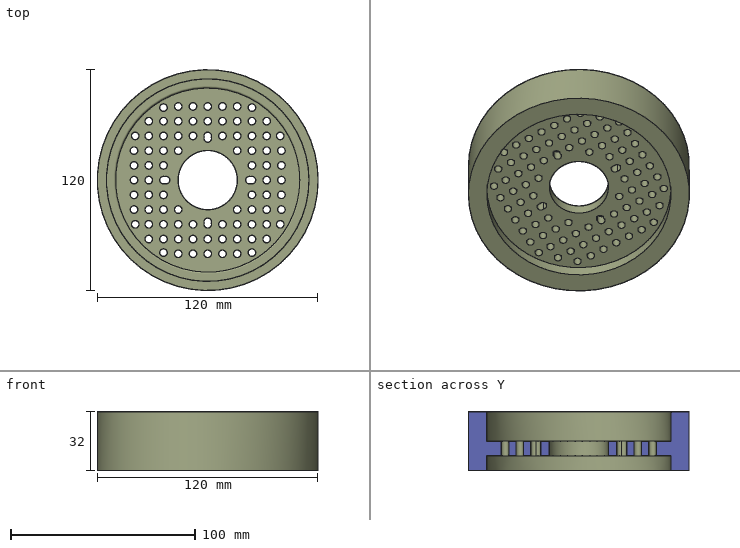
import cadquery as cq
import math

outer_diameter = 120.0
height = 32.0

pocket_diameter = 100.0
pocket_depth = 16.0
floor_thickness = 8.0
rim_fillet = 1.0
bore_diameter = 32.0
recess_depth = height - pocket_depth - floor_thickness

groove_outer_diameter = 110.0
groove_width = 0.1
groove_depth = 0.1

hole_diameter = 4.0
hole_pitch = outer_diameter / 15
grid_reach = 5
grid_inner_radius = 20.4
grid_outer_radius = 48.0
full_pitch_radius = 46.2
pulled_offset = 39.4

ring_count = 8
ring_radius = 2 * hole_pitch * math.sqrt(2)


def cylinder(diameter, bottom, top):
    """Solid cylinder on the Z axis between two heights."""
    return cq.Workplane("XY").workplane(offset=bottom).circle(diameter / 2).extrude(top - bottom)


def pulled_inward(coordinate):
    """Limit a coordinate to the offset of the pulled holes, keeping its sign."""
    return math.copysign(min(abs(coordinate), pulled_offset), coordinate)


def grid_centres():
    """Centres of the holes that follow the square grid."""
    centres = []
    steps = range(-grid_reach, grid_reach + 1)
    for column in steps:
        for row in steps:
            x = column * hole_pitch
            y = row * hole_pitch
            radius = math.hypot(x, y)
            if not grid_inner_radius < radius < grid_outer_radius:
                continue
            if radius > full_pitch_radius:
                x = pulled_inward(x)
                y = pulled_inward(y)
            centres.append((x, y))
    return centres


def holes_at(points):
    """Drills reaching through the floor; points is a workplane with the centres stacked."""
    return points.circle(hole_diameter / 2).extrude(recess_depth + floor_thickness)


def rim_groove():
    """Thin ring that cuts the hairline groove."""
    bottom = height - groove_depth
    outside = cylinder(groove_outer_diameter, bottom, height)
    return outside.cut(cylinder(groove_outer_diameter - 2 * groove_width, bottom, height))


body = cylinder(outer_diameter, 0, height)
body = body.cut(cylinder(pocket_diameter, recess_depth + floor_thickness, height))
body = body.faces(">Z").edges(cq.selectors.RadiusNthSelector(0)).fillet(rim_fillet)

body = body.cut(cylinder(pocket_diameter, 0, recess_depth))
body = body.cut(cylinder(bore_diameter, 0, height))

body = body.cut(rim_groove())

body = body.cut(holes_at(cq.Workplane("XY").pushPoints(grid_centres())))
body = body.cut(holes_at(cq.Workplane("XY").polarArray(ring_radius, 0, 360, ring_count)))

result = body